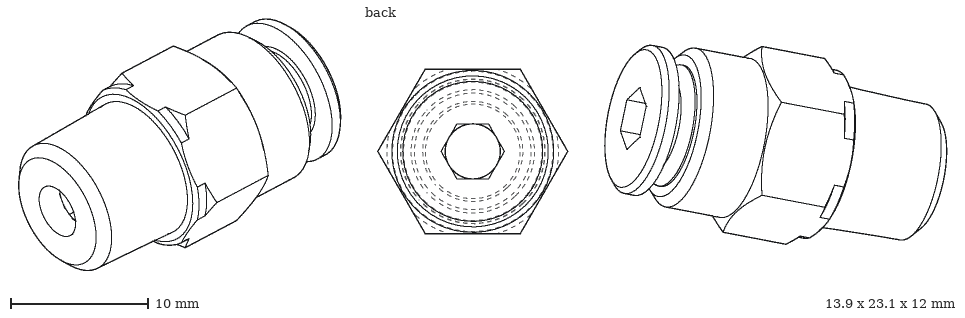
import cadquery as cq
import math


total_length = 23.12

bore_radius = 2.0
mouth_depth = 2.0
socket_across_flats = 2 * bore_radius
socket_across_corners = socket_across_flats / math.cos(math.pi / 6)

end_chamfer = 0.8
thread_length = 8.0
thread_tip_radius = 5.05
thread_taper = 1 / 16
thread_root_radius = thread_tip_radius + (thread_length - end_chamfer) * thread_taper / 2

hex_across_flats = 12.0
hex_across_corners = hex_across_flats / math.cos(math.pi / 6)
hex_length = 7.0
hex_end = thread_length + hex_length
corner_slope = math.tan(math.pi / 6)
hex_corner_radius = hex_across_corners / 2

collar_radius = 6.25
collar_length = 1.0
collar_edge_width = 0.4
collar_edge_height = 0.25

sleeve_radius = 5.9
sleeve_end = total_length - 3.07
sleeve_chamfer_width = 0.65
sleeve_chamfer_length = 0.7

step_radius = 4.5
step_height = 0.15
neck_radius = 3.45
neck_start = total_length - 2.28
neck_flare = 0.2

ring_radius = 5.5
ring_thickness = 1.2
ring_chamfer = 0.4


def revolve_about_y(points):
    """Solid of revolution about Y from (radius, y) points."""
    return cq.Workplane("XY").polyline(points).close().revolve(360, (0, 0, 0), (0, 1, 0))


def make_thread_end():
    return revolve_about_y([
        (0, 0),
        (thread_tip_radius - end_chamfer, 0),
        (thread_tip_radius, end_chamfer),
        (thread_root_radius, thread_length),
        (0, thread_length),
    ])


def make_hexagon():
    prism = (
        cq.Workplane("XZ", origin=(0, thread_length, 0))
        .polygon(6, hex_across_corners)
        .extrude(-hex_length)
    )
    collar_end = thread_length + collar_length
    lower_rise = (hex_corner_radius - collar_radius) * corner_slope
    upper_drop = (hex_corner_radius - sleeve_radius) * corner_slope
    envelope = revolve_about_y([
        (0, thread_length),
        (collar_radius - collar_edge_width, thread_length),
        (collar_radius, thread_length + collar_edge_height),
        (collar_radius, collar_end),
        (hex_corner_radius, collar_end + lower_rise),
        (hex_corner_radius, hex_end - upper_drop),
        (sleeve_radius, hex_end),
        (0, hex_end),
    ])
    return prism.intersect(envelope)


def make_push_in_end():
    ring_start = total_length - ring_thickness
    return revolve_about_y([
        (0, hex_end),
        (sleeve_radius, hex_end),
        (sleeve_radius, sleeve_end - sleeve_chamfer_length),
        (sleeve_radius - sleeve_chamfer_width, sleeve_end),
        (step_radius, sleeve_end),
        (step_radius, sleeve_end + step_height),
        (neck_radius, neck_start),
        (neck_radius, ring_start - neck_flare),
        (neck_radius + neck_flare, ring_start),
        (ring_radius, ring_start),
        (ring_radius, total_length - ring_chamfer),
        (ring_radius - ring_chamfer, total_length),
        (0, total_length),
    ])


def make_bore():
    mouth = cq.Workplane("XZ").circle(bore_radius).extrude(-mouth_depth)
    socket = (
        cq.Workplane("XZ", origin=(0, mouth_depth, 0))
        .polygon(6, socket_across_corners)
        .extrude(mouth_depth - total_length)
    )
    return mouth.union(socket)


body = make_thread_end().union(make_hexagon()).union(make_push_in_end())
result = body.cut(make_bore()).solids()